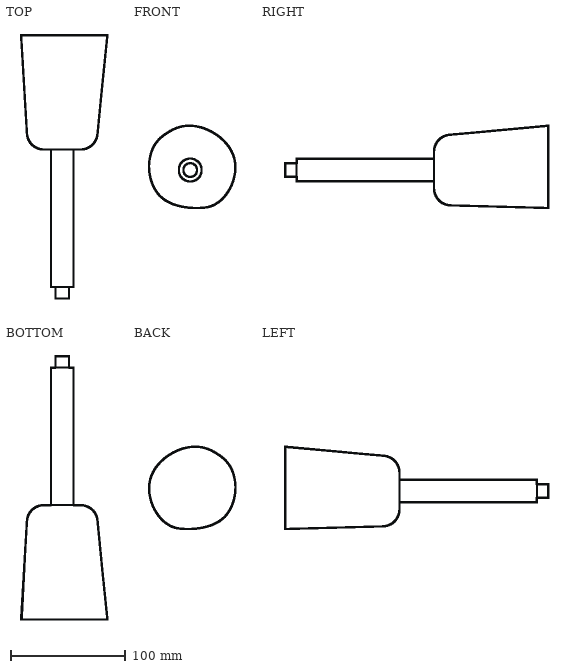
import cadquery as cq
import math

handle_length = 100.0
cap_flat_radius = 16.0
cap_rounding = 15.0
cap_draft = 4.0
loft_start = 120.0

rim_points = [
    (-23.30, 30.37),
    (-35.05, 12.11),
    (-26.80, -22.35),
    (8.86, -33.22),
    (17.40, -31.95),
    (38.94, 8.71),
    (-4.17, 38.70),
]

shaft_diameter = 20.0
shaft_length = 120.0
tip_diameter = 12.0
tip_length = 10.0


def rounding_point(angle):
    """(radius, y) on the cap rounding, angle in degrees from its flat end."""
    turn = math.radians(angle)
    radius = cap_flat_radius + cap_rounding * math.sin(turn)
    return radius, cap_rounding * (1 - math.cos(turn))


rounding_end = 90 - cap_draft
cap_radius, cap_depth = rounding_point(rounding_end)


def make_cap():
    """Revolved cap with its flat end at y = 0, rounded by one arc."""
    return (
        cq.Workplane("XY")
        .lineTo(cap_flat_radius, 0)
        .threePointArc(rounding_point(rounding_end / 2), (cap_radius, cap_depth))
        .lineTo(0, cap_depth)
        .close()
        .revolve(360, (0, 0, 0), (0, 1, 0))
    )


def make_taper():
    """Ruled loft from the cap's circle to the rim curve."""
    start = math.radians(loft_start)
    start_direction = (math.cos(start), 0, math.sin(start))
    base_plane = cq.Plane(origin=(0, cap_depth, 0), xDir=start_direction, normal=(0, -1, 0))
    rim_plane = cq.Plane(origin=(0, handle_length, 0), xDir=(1, 0, 0), normal=(0, -1, 0))
    base = cq.Workplane(base_plane).circle(cap_radius).wire().val()
    rim = cq.Workplane(rim_plane).spline(rim_points, periodic=True).wire().val()
    return cq.Workplane(cq.Solid.makeLoft([base, rim], True))


def make_rod(diameter, length, start_y):
    """Cylinder running from start_y toward -Y."""
    return cq.Workplane("XZ", origin=(0, start_y, 0)).circle(diameter / 2).extrude(length)


cap = make_cap()
taper = make_taper()
shaft = make_rod(shaft_diameter, shaft_length, 0)
tip = make_rod(tip_diameter, tip_length, -shaft_length)

result = cap.union(taper).union(shaft).union(tip)